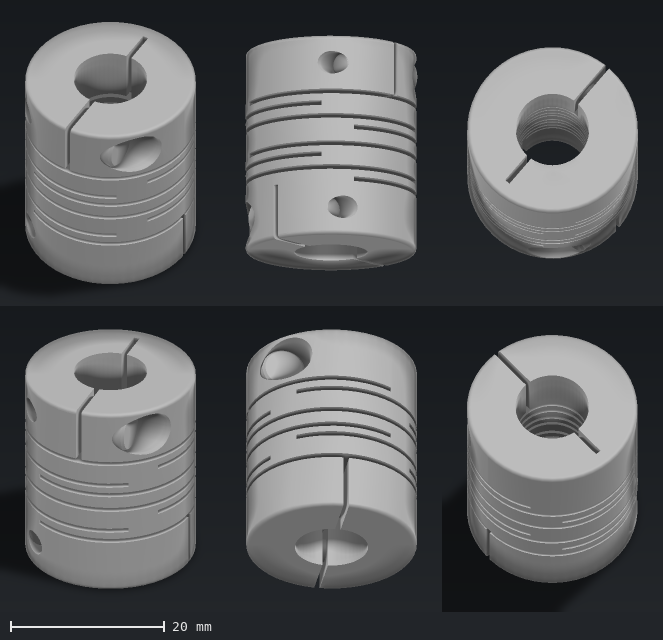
import cadquery as cq

length = 26.5
outer_radius = 11.1
bore_radius = 4.77
rim_fillet = 0.5
cut_clearance = 0.26
cut_size = 2 * (outer_radius + cut_clearance)

slit_width = 0.6
slit_reach = 6.23
slit_offsets = [1.1, 2.55, 4.27, 5.8]

hub_height = length / 2 - max(slit_offsets) - slit_width / 2
clamp_slot_width = 0.75
top_slot_end = 9.12

screw_offset = 7.3
screw_height = 3.63
screw_diameter = 3.0
screw_radius = screw_diameter / 2
screw_tip = -6.68
screw_tip_chamfer = 0.3
head_radius = 2.78
head_seat = 2.8
head_top = 5.8
head_chamfer = 0.32
head_bore_radius = 2.95


def make_body():
    body = cq.Workplane("XY").circle(outer_radius).extrude(length)
    body = body.edges().fillet(rim_fillet)
    return body.cut(cq.Workplane("XY").circle(bore_radius).extrude(length))


def slit(direction, height):
    """Slit open towards `direction`, leaving a web on the opposite side."""
    dx, dy = direction
    shift = cut_size / 2 - slit_reach
    blade = cq.Workplane("XY").box(cut_size, cut_size, slit_width)
    return blade.translate((dx * shift, dy * shift, height))


def cylinder_along_x(radius, start, end):
    return cq.Workplane("YZ").workplane(offset=start).circle(radius).extrude(end - start)


def place_at_top(shape):
    """Move a shape built along X onto the upper screw axis."""
    return shape.translate((0, -screw_offset, length - screw_height))


def place_at_bottom(shape):
    """Turn a shape built along X to lie along Y on the lower screw axis."""
    return shape.rotate((0, 0, 0), (0, 0, 1), 90).translate((-screw_offset, 0, screw_height))


def make_screw():
    shank = cylinder_along_x(screw_radius, screw_tip, head_seat)
    shank = shank.faces("<X").chamfer(screw_tip_chamfer)
    head = cylinder_along_x(head_radius, head_seat, head_top)
    head = head.faces(">X").chamfer(head_chamfer)
    return shank.union(head)


def make_screw_hole():
    hole = cylinder_along_x(screw_radius, -outer_radius, head_seat)
    return hole.union(cylinder_along_x(head_bore_radius, head_seat, outer_radius))


result = make_body()

inner, second, third, outer = slit_offsets
middle = length / 2
slit_layout = [
    ((0, -1), [outer, -inner]),
    ((0, 1), [third, -second]),
    ((-1, 0), [second, -third]),
    ((1, 0), [inner, -outer]),
]
for direction, offsets in slit_layout:
    for offset in offsets:
        result = result.cut(slit(direction, middle + offset))

top_slot = (
    cq.Workplane("XY")
    .box(clamp_slot_width, cut_size, hub_height, centered=(True, False, False))
    .translate((0, top_slot_end - cut_size, length - hub_height))
)

bottom_slot = cq.Workplane("XY").box(
    cut_size, clamp_slot_width, hub_height, centered=(True, True, False)
)
result = result.cut(top_slot).cut(bottom_slot)

for place in (place_at_top, place_at_bottom):
    result = result.cut(place(make_screw_hole()))
    result = result.union(place(make_screw()))